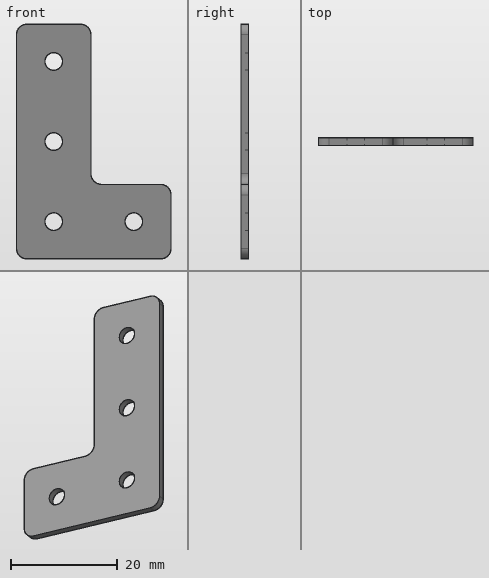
import cadquery as cq

arm_width = 14.0
hole_pitch = 15.0
thickness = 1.5
corner_radius = 2.0
hole_diameter = 3.25

plate_width = arm_width + hole_pitch
plate_height = arm_width + 2 * hole_pitch
margin = arm_width / 2

outline = [
    (0, 0),
    (plate_width, 0),
    (plate_width, arm_width),
    (arm_width, arm_width),
    (arm_width, plate_height),
    (0, plate_height),
]
plate = cq.Workplane("XZ").polyline(outline).close().extrude(-thickness)

plate = plate.edges("|Y").fillet(corner_radius)

hole_steps = [(0, 0), (0, 1), (0, 2), (1, 0)]
hole_centres = [
    (margin + across * hole_pitch, margin + up * hole_pitch)
    for across, up in hole_steps
]
holes = (
    cq.Workplane("XZ")
    .pushPoints(hole_centres)
    .circle(hole_diameter / 2)
    .extrude(-thickness)
)

result = plate.cut(holes)